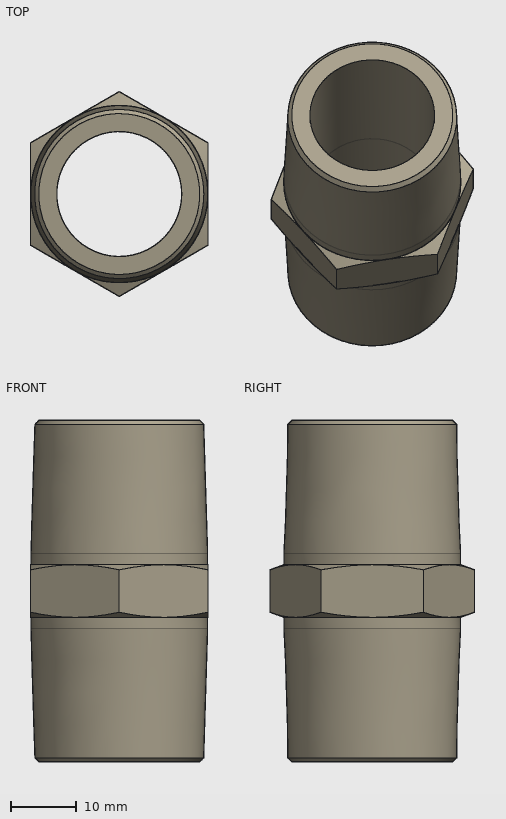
import cadquery as cq
import math

total_length = 52.0
bore_diameter = 19.0

hex_across_corners = 31.2
hex_across_flats = hex_across_corners * math.cos(math.radians(30))
hex_height = 8.0
hex_corner_drop = 0.8

collar_diameter = 26.95
collar_length = 1.7
tip_diameter = 25.75
tip_chamfer_width = 0.6
tip_chamfer_height = 0.6

half_length = total_length / 2
half_hex = hex_height / 2


def revolve_profile(points):
    """Revolve a closed (radius, height) outline about the Z axis."""
    return cq.Workplane("XZ").polyline(points).close().revolve(360, (0, 0, 0), (0, 1, 0))


def make_hexagon():
    """Hexagonal prism whose corners are cut back by a cone on both faces."""
    prism = (
        cq.Workplane("XY")
        .polygon(6, hex_across_corners)
        .extrude(half_hex, both=True)
        .rotate((0, 0, 0), (0, 0, 1), 30)
    )
    face_radius = hex_across_flats / 2
    corner_radius = hex_across_corners / 2
    corner_height = half_hex - hex_corner_drop
    envelope = revolve_profile([
        (0, -half_hex),
        (face_radius, -half_hex),
        (corner_radius, -corner_height),
        (corner_radius, corner_height),
        (face_radius, half_hex),
        (0, half_hex),
    ])
    return prism.intersect(envelope)


def make_upper_end():
    """Short straight collar, then a taper ending in a chamfered tip."""
    collar_radius = collar_diameter / 2
    tip_radius = tip_diameter / 2
    return revolve_profile([
        (0, 0),
        (collar_radius, 0),
        (collar_radius, half_hex + collar_length),
        (tip_radius, half_length - tip_chamfer_height),
        (tip_radius - tip_chamfer_width, half_length),
        (0, half_length),
    ])


upper_end = make_upper_end()
lower_end = upper_end.mirror("XY")
bore = cq.Workplane("XY").circle(bore_diameter / 2).extrude(half_length, both=True)

result = make_hexagon().union(upper_end).union(lower_end).cut(bore)